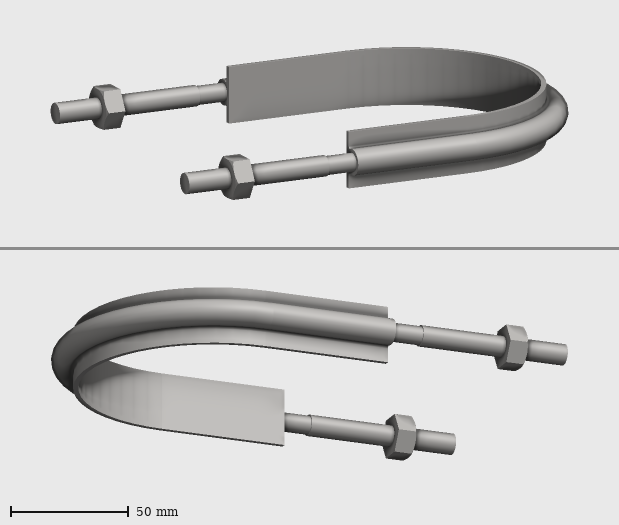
import cadquery as cq
import math

total_length = 204.2
total_width = 145.5
rod_diameter = 8.2
thread_diameter = 9.2
thread_length = 66.2
leg_below_sleeve = 79.2

sleeve_radius = 5.7
band_width = 25.0
band_thickness = 2.2
band_inner_radius = 57.2
blend_radius = 1.0

nut_flats = 17.0
nut_thickness = 8.5
nut_end_gap = 19.8
nut_chamfer_angle = 30.0
nut_face_diameter = 17.0

nut_corners = nut_flats / math.cos(math.radians(30))
leg_offset = (total_width - nut_corners) / 2
leg_end_y = leg_offset + sleeve_radius - total_length
sleeve_end_y = leg_end_y + leg_below_sleeve
nut_near_y = leg_end_y + nut_end_gap
leg_sides = (-1, 1)


def along_y(x, y_start):
    """Workplane at y_start on an axis parallel to Y, extruding toward +Y."""
    return cq.Workplane(cq.Plane(origin=(x, y_start, 0), xDir=(1, 0, 0), normal=(0, 1, 0)))


def make_u(draw_profile, end_y):
    """Sweep a profile up the right leg, round the bend and down the left leg."""
    right_leg = draw_profile(cq.Workplane("XZ")).extrude(-end_y)
    left_leg = right_leg.mirror("YZ")
    bend = draw_profile(cq.Workplane("XZ")).revolve(180, (0, 0, 0), (0, 1, 0))
    return right_leg.union(bend).union(left_leg)


def rod_profile(plane):
    return plane.center(leg_offset, 0).circle(rod_diameter / 2).center(-leg_offset, 0)


def sleeve_profile(plane):
    """Flat band on the inside, joined by small fillets to a round back."""
    half_width = band_width / 2
    band_outer = band_inner_radius + band_thickness
    blend_x = band_outer + blend_radius
    center_distance = sleeve_radius + blend_radius
    blend_z = math.sqrt(center_distance ** 2 - (leg_offset - blend_x) ** 2)

    share = sleeve_radius / center_distance
    tangent_x = leg_offset + (blend_x - leg_offset) * share
    tangent_z = blend_z * share

    tangent_angle = math.atan2(tangent_z - blend_z, tangent_x - blend_x)
    middle_angle = (tangent_angle - math.pi) / 2
    middle_x = blend_x + blend_radius * math.cos(middle_angle)
    middle_z = blend_z + blend_radius * math.sin(middle_angle)

    return (
        plane.moveTo(band_inner_radius, -half_width)
        .lineTo(band_outer, -half_width)
        .lineTo(band_outer, -blend_z)
        .threePointArc((middle_x, -middle_z), (tangent_x, -tangent_z))
        .threePointArc((leg_offset + sleeve_radius, 0), (tangent_x, tangent_z))
        .threePointArc((middle_x, middle_z), (band_outer, blend_z))
        .lineTo(band_outer, half_width)
        .lineTo(band_inner_radius, half_width)
        .close()
    )


def make_rod():
    """U-bent rod with a thicker threaded end on each leg."""
    rod = make_u(rod_profile, leg_end_y)
    for side in leg_sides:
        thread = along_y(side * leg_offset, leg_end_y).circle(thread_diameter / 2).extrude(thread_length)
        rod = rod.union(thread)
    return rod


def make_sleeve(rod):
    """Sleeve round the U, hollowed to fit the rod."""
    return make_u(sleeve_profile, sleeve_end_y).cut(rod)


def make_nut(side):
    """Hexagon nut, corners chamfered on the end nearest the rod end."""
    x = side * leg_offset
    hexagon = along_y(x, nut_near_y).polygon(6, nut_corners).extrude(nut_thickness)
    chamfer_height = nut_thickness / 2
    chamfer_spread = chamfer_height / math.tan(math.radians(nut_chamfer_angle))
    chamfer_limit = (
        along_y(x, nut_near_y)
        .circle(nut_face_diameter / 2)
        .workplane(offset=chamfer_height)
        .circle(nut_face_diameter / 2 + chamfer_spread)
        .loft(ruled=True)
        .faces(">Y")
        .workplane()
        .circle(nut_face_diameter / 2 + chamfer_spread)
        .extrude(nut_thickness - chamfer_height)
    )
    bore = along_y(x, nut_near_y).circle(thread_diameter / 2).extrude(nut_thickness)
    return hexagon.intersect(chamfer_limit).cut(bore)


rod = make_rod()
sleeve = make_sleeve(rod)
nuts = [make_nut(side) for side in leg_sides]

result = cq.Compound.makeCompound([rod.val(), sleeve.val(), *[nut.val() for nut in nuts]])